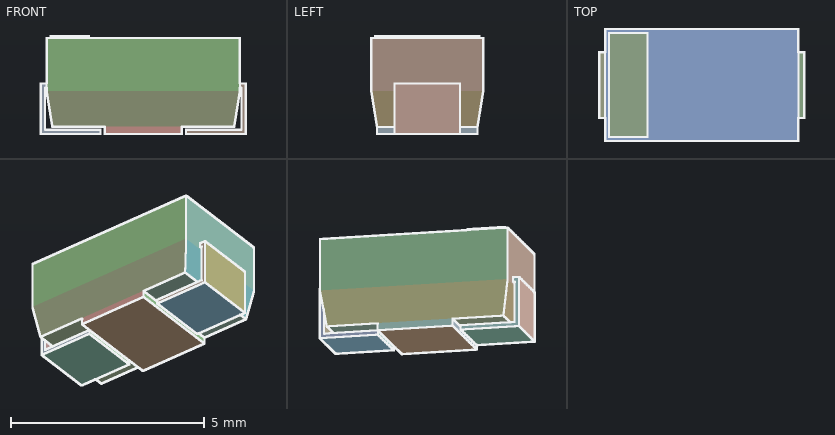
import cadquery as cq

OVERALL_LENGTH = 5.31
OVERALL_HEIGHT = 2.54

HOUSING_LENGTH = 5.0
HOUSING_WIDTH = 2.9
PARTING_HEIGHT = 1.11
STANDOFF_HEIGHT = 0.185
STANDOFF_LENGTH = 2.0
TAPER_INSET = 0.15

MARK_THICKNESS = 0.05
MARK_LENGTH = 1.0
MARK_MARGIN = 0.1

LEAD_THICKNESS = 0.115
LEAD_WIDTH = 1.705
LEAD_HEIGHT = 1.31
FOOT_LENGTH = 1.55

HOUSING_TOP = OVERALL_HEIGHT - MARK_THICKNESS
BASE_LENGTH = HOUSING_LENGTH - 2 * TAPER_INSET
BASE_WIDTH = HOUSING_WIDTH - 2 * TAPER_INSET
MARK_WIDTH = HOUSING_WIDTH - 2 * MARK_MARGIN


def make_housing():
    """Straight upper half, tapered lower half and a standoff under the middle."""
    upper = (
        cq.Workplane("XY", origin=(0, 0, PARTING_HEIGHT))
        .rect(HOUSING_LENGTH, HOUSING_WIDTH)
        .extrude(HOUSING_TOP - PARTING_HEIGHT)
    )
    lower = (
        cq.Workplane("XY", origin=(0, 0, STANDOFF_HEIGHT))
        .rect(BASE_LENGTH, BASE_WIDTH)
        .workplane(offset=PARTING_HEIGHT - STANDOFF_HEIGHT)
        .rect(HOUSING_LENGTH, HOUSING_WIDTH)
        .loft(ruled=True)
    )
    standoff = cq.Workplane("XY").rect(STANDOFF_LENGTH, BASE_WIDTH).extrude(STANDOFF_HEIGHT)
    return upper.union(lower).union(standoff)


def make_polarity_mark():
    """Thin plate on the housing top, close to its -X end."""
    center_x = -HOUSING_LENGTH / 2 + MARK_MARGIN + MARK_LENGTH / 2
    return (
        cq.Workplane("XY", origin=(center_x, 0, HOUSING_TOP))
        .rect(MARK_LENGTH, MARK_WIDTH)
        .extrude(MARK_THICKNESS)
    )


def make_lead(side):
    """Bent strip on one end: tab against the housing, upright, and foot turned inward."""
    outer_x = side * OVERALL_LENGTH / 2
    upright_inner_x = outer_x - side * LEAD_THICKNESS
    housing_x = side * HOUSING_LENGTH / 2
    foot_end_x = outer_x - side * FOOT_LENGTH
    tab_bottom = LEAD_HEIGHT - LEAD_THICKNESS
    return (
        cq.Workplane("XZ")
        .moveTo(outer_x, 0)
        .lineTo(outer_x, LEAD_HEIGHT)
        .lineTo(housing_x, LEAD_HEIGHT)
        .lineTo(housing_x, tab_bottom)
        .lineTo(upright_inner_x, tab_bottom)
        .lineTo(upright_inner_x, LEAD_THICKNESS)
        .lineTo(foot_end_x, LEAD_THICKNESS)
        .lineTo(foot_end_x, 0)
        .close()
        .extrude(LEAD_WIDTH / 2, both=True)
    )


housing = make_housing()
polarity_mark = make_polarity_mark()
leads = [make_lead(side) for side in (-1, 1)]

result = cq.Compound.makeCompound(
    [housing.val(), polarity_mark.val(), *[lead.val() for lead in leads]]
)